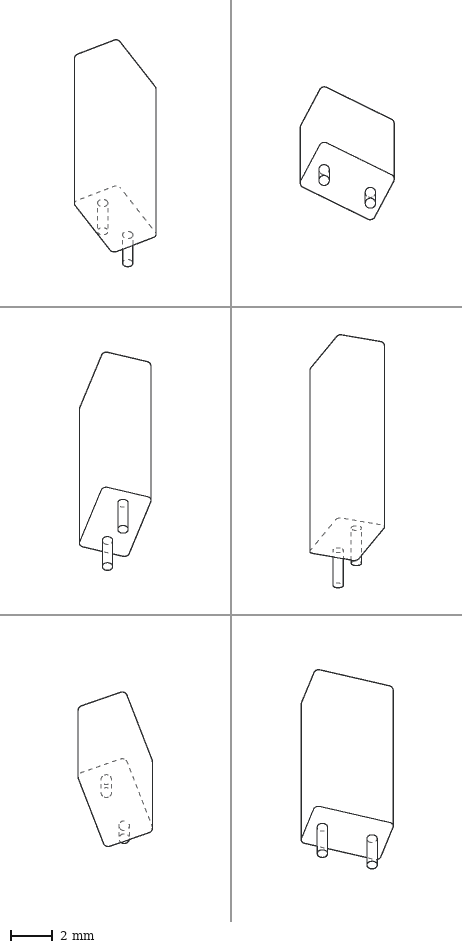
import cadquery as cq

body_width = 4.0
body_depth = 2.5
body_height = 10.0
edge_radius = 0.25

overall_height = 11.9
pin_diameter = 0.5
pin_pitch = 2.5
pin_length = overall_height - body_height


def make_body():
    """Block standing on Z = 0, rounded on all edges except the bottom ones."""
    block = cq.Workplane("XY").box(
        body_width, body_depth, body_height, centered=(True, True, False)
    )
    return block.edges("|Z or >Z").fillet(edge_radius)


def make_pins():
    """Pair of pins reaching down from the underside, centred in depth."""
    pin_centers = [(-pin_pitch / 2, 0), (pin_pitch / 2, 0)]
    return (
        cq.Workplane("XY")
        .pushPoints(pin_centers)
        .circle(pin_diameter / 2)
        .extrude(-pin_length)
    )


result = make_body().union(make_pins())